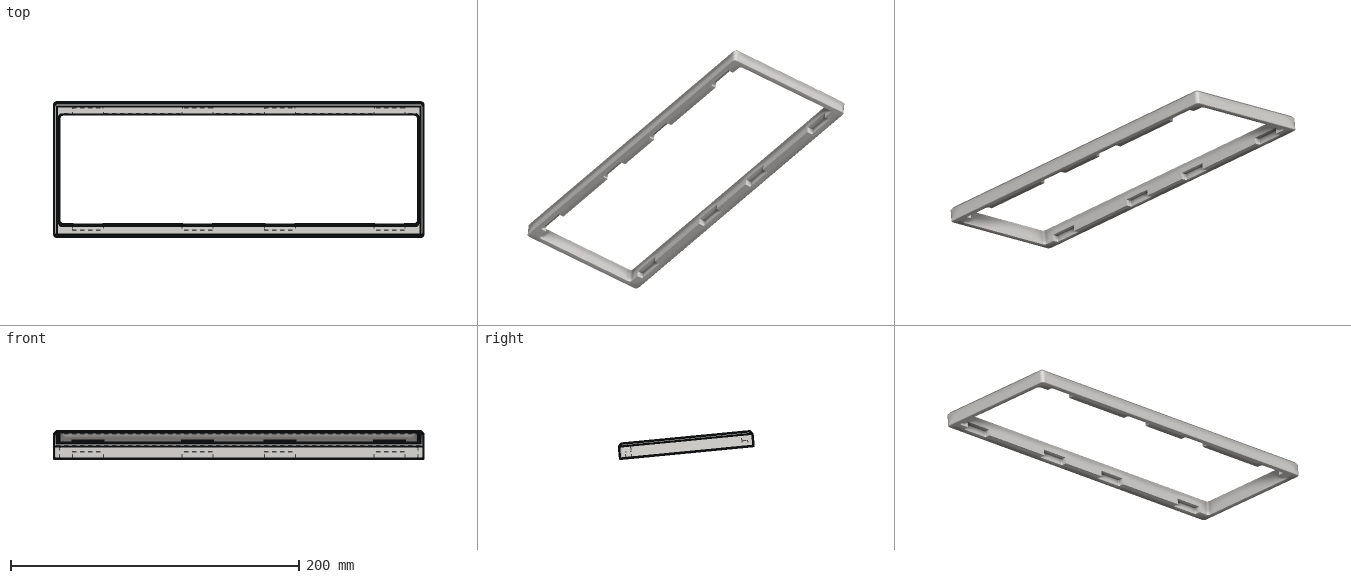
import cadquery as cq
import math

LENGTH_X = 256.7
EXTENT_Y = 93.62
EXTENT_Z = 19.27

TILT = 5.5
TOP_CHAMFER = 2.0
BOTTOM_CHAMFER = 0.3
CORNER_RADIUS = 2.5

COS_TILT = math.cos(math.radians(TILT))
SIN_TILT = math.sin(math.radians(TILT))
CHAMFER_LOSS = (TOP_CHAMFER + BOTTOM_CHAMFER) * SIN_TILT
SHARP_Y = EXTENT_Y + CHAMFER_LOSS
SHARP_Z = EXTENT_Z + CHAMFER_LOSS
DETERMINANT = COS_TILT**2 - SIN_TILT**2
DEPTH = (SHARP_Y * COS_TILT - SHARP_Z * SIN_TILT) / DETERMINANT
HEIGHT = (SHARP_Z * COS_TILT - SHARP_Y * SIN_TILT) / DETERMINANT

SIDE_RAIL = 3.95
FRONT_RAIL = 8.15
BACK_RAIL = 7.8
OPENING_X = LENGTH_X - 2 * SIDE_RAIL
OPENING_Y = DEPTH - FRONT_RAIL - BACK_RAIL
OPENING_CENTRE_Y = (FRONT_RAIL - BACK_RAIL) / 2
OPENING_RADIUS = 2.0
OPENING_CHAMFER = 0.3

KEY_PITCH = 19.05
NOTCH_CENTRES_X = [pitches * KEY_PITCH for pitches in (-5.5, -1.5, 1.5, 5.5)]
NOTCH_WIDTH = 21.5
NOTCH_HEIGHT = 4.4
NOTCH_DEPTH = 4.0
NOTCH_RADIUS = 1.62 / 2


def rounded_block(size_x, size_y, height, radius):
    """Block standing on Z = 0 with rounded vertical corners."""
    block = cq.Workplane("XY").box(size_x, size_y, height, centered=(True, True, False))
    return block.edges("|Z").fillet(radius)


def outer_block():
    block = rounded_block(LENGTH_X, DEPTH, HEIGHT, CORNER_RADIUS)
    block = block.faces(">Z").chamfer(TOP_CHAMFER)
    return block.faces("<Z").chamfer(BOTTOM_CHAMFER)


def opening():
    """Cutter for the opening, flared at the top to chamfer its rim."""
    flare = 2 * OPENING_CHAMFER
    top_radius = OPENING_RADIUS + OPENING_CHAMFER
    cutter = rounded_block(OPENING_X + flare, OPENING_Y + flare, 2 * HEIGHT, top_radius)
    cutter = cutter.faces("<Z").chamfer(OPENING_CHAMFER)
    cutter = cutter.translate((0, 0, HEIGHT - OPENING_CHAMFER))
    through = rounded_block(OPENING_X, OPENING_Y, HEIGHT, OPENING_RADIUS)
    return through.union(cutter).translate((0, OPENING_CENTRE_Y, 0))


def notch(centre_x):
    """One cutter across the opening forms a facing pair of notches."""
    span_y = OPENING_Y + 2 * NOTCH_DEPTH
    cutter = rounded_block(NOTCH_WIDTH, span_y, NOTCH_HEIGHT, NOTCH_RADIUS)
    return cutter.translate((centre_x, OPENING_CENTRE_Y, 0))


frame = outer_block().cut(opening())
for notch_x in NOTCH_CENTRES_X:
    frame = frame.cut(notch(notch_x))

result = frame.rotate((0, 0, 0), (1, 0, 0), TILT)